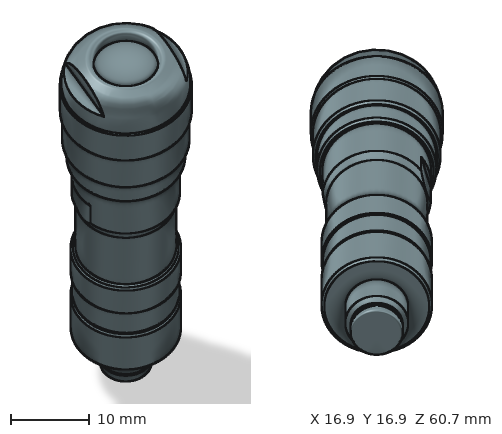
import cadquery as cq
import math


TOP_Z = 60.7
TURN = -1.0
CHAMFER = 0.3
WIDE_CHAMFER = 0.35

CAP_BOTTOM_Z = 44.5
SKIRT_R = 8.15
BAND_RISE = 0.275
BAND_R = SKIRT_R + BAND_RISE
BAND_BOTTOM_Z = 50.25
BAND_TOP_Z = 55.7
DOME_R = 8.2
DOME_MID = (7.6, 58.6)
RECESS_R = 4.1
RECESS_DEPTH = 1.4
RIM_R = 0.7
DOME_SLOPE = 30.0
CAP_FLAT_Y = 6.0
CAP_FLAT_Z = 58.0

HOUSING_BOTTOM_Z = 23.2
COLLAR_R = 7.6
COLLAR_BOTTOM_Z = 41.05
NECK_R = 6.9
TAPER_TOP_Z = 34.2
TAPER_BOTTOM_Z = 32.7
SLEEVE_R = 6.45
SLEEVE_CHAMFER = 0.25
NECK_FLAT_Y = 6.5
NECK_FLAT_WIDTH = 4.85
NECK_FLAT_TOP_Z = 37.65

COUPLING_BOTTOM_Z = 13.85
RING_R = 7.05
COUPLING_STEP_Z = 18.15
COUPLING_SMALL_R = 6.85

LOCK_BOTTOM_Z = 6.75

STEM_R = 4.0
STEM_BOTTOM_Z = 2.55
TIP_R = 3.35
TIP_TOP_Z = 1.95
GROOVE_R = 3.2
GROOVE_TOP_Z = 1.65
GROOVE_BOTTOM_Z = 1.4
TIP_FILLET = 0.35


def turned(points):
    """Solid of revolution about Z from (radius, height) points, closed along the axis."""
    heights = [points[0][1], points[-1][1]]
    outline = [(0, heights[0])] + points + [(0, heights[1])]
    return cq.Workplane("XZ").polyline(outline).close().revolve(360, (0, 0), (0, 1))


def flat_cutters(flat_y, width, bottom_z, top_z):
    """Two boxes that cut a pair of opposite flats at +-flat_y."""
    depth = BAND_R
    height = top_z - bottom_z
    center_y = flat_y + depth / 2
    boxes = (
        cq.Workplane("XY", origin=(0, 0, bottom_z))
        .pushPoints([(0, center_y), (0, -center_y)])
        .box(width, depth, height, centered=(True, True, False))
    )
    return boxes.rotate((0, 0, 0), (0, 0, 1), TURN)


def make_cap():
    """Domed cap with a raised band, a round recess in the top and two flats."""
    rim_center_r = RECESS_R + RIM_R
    rim_center_z = TOP_Z - RIM_R
    slope = math.radians(DOME_SLOPE)
    dome_top = (rim_center_r + RIM_R * math.sin(slope), rim_center_z + RIM_R * math.cos(slope))
    cap = (
        cq.Workplane("XZ")
        .moveTo(0, CAP_BOTTOM_Z)
        .lineTo(SKIRT_R - WIDE_CHAMFER, CAP_BOTTOM_Z)
        .lineTo(SKIRT_R, CAP_BOTTOM_Z + WIDE_CHAMFER)
        .lineTo(SKIRT_R, BAND_BOTTOM_Z)
        .lineTo(BAND_R, BAND_BOTTOM_Z + BAND_RISE)
        .lineTo(BAND_R, BAND_TOP_Z - (BAND_R - DOME_R))
        .lineTo(DOME_R, BAND_TOP_Z)
        .threePointArc(DOME_MID, dome_top)
        .threePointArc((rim_center_r, TOP_Z), (RECESS_R, rim_center_z))
        .lineTo(RECESS_R, TOP_Z - RECESS_DEPTH)
        .lineTo(0, TOP_Z - RECESS_DEPTH)
        .close()
        .revolve(360, (0, 0), (0, 1))
    )
    return cap.cut(flat_cutters(CAP_FLAT_Y, 2 * BAND_R, CAP_FLAT_Z, TOP_Z))


def make_housing():
    """Collar, neck and sleeve, with two wrench flats running out in the taper."""
    housing = turned([
        (SLEEVE_R - SLEEVE_CHAMFER, HOUSING_BOTTOM_Z),
        (SLEEVE_R, HOUSING_BOTTOM_Z + SLEEVE_CHAMFER),
        (SLEEVE_R, TAPER_BOTTOM_Z),
        (NECK_R, TAPER_TOP_Z),
        (NECK_R, COLLAR_BOTTOM_Z),
        (COLLAR_R - WIDE_CHAMFER, COLLAR_BOTTOM_Z),
        (COLLAR_R, COLLAR_BOTTOM_Z + WIDE_CHAMFER),
        (COLLAR_R, CAP_BOTTOM_Z),
    ])
    return housing.cut(flat_cutters(NECK_FLAT_Y, NECK_FLAT_WIDTH, TAPER_BOTTOM_Z, NECK_FLAT_TOP_Z))


def make_coupling_ring():
    """Ring that steps in slightly, over a small bevel, to a smaller lower part."""
    return turned([
        (COUPLING_SMALL_R - WIDE_CHAMFER, COUPLING_BOTTOM_Z),
        (COUPLING_SMALL_R, COUPLING_BOTTOM_Z + WIDE_CHAMFER),
        (COUPLING_SMALL_R, COUPLING_STEP_Z),
        (RING_R, COUPLING_STEP_Z + RING_R - COUPLING_SMALL_R),
        (RING_R, HOUSING_BOTTOM_Z - CHAMFER),
        (RING_R - CHAMFER, HOUSING_BOTTOM_Z),
    ])


def make_lock_ring():
    """Plain ring with chamfered ends."""
    return turned([
        (RING_R - WIDE_CHAMFER, LOCK_BOTTOM_Z),
        (RING_R, LOCK_BOTTOM_Z + WIDE_CHAMFER),
        (RING_R, COUPLING_BOTTOM_Z - CHAMFER),
        (RING_R - CHAMFER, COUPLING_BOTTOM_Z),
    ])


def make_plug():
    """Stem that narrows to a tip with a shallow groove and a rounded end."""
    plug = turned([
        (TIP_R, 0),
        (TIP_R, GROOVE_BOTTOM_Z),
        (GROOVE_R, GROOVE_BOTTOM_Z),
        (TIP_R, GROOVE_TOP_Z),
        (TIP_R, TIP_TOP_Z),
        (STEM_R, STEM_BOTTOM_Z),
        (STEM_R, LOCK_BOTTOM_Z),
    ])
    return plug.faces("<Z").edges().fillet(TIP_FILLET)


cap = make_cap()
housing = make_housing()
coupling_ring = make_coupling_ring()
lock_ring = make_lock_ring()
plug = make_plug()

result = cq.Compound.makeCompound([
    cap.val(),
    housing.val(),
    coupling_ring.val(),
    lock_ring.val(),
    plug.val(),
])